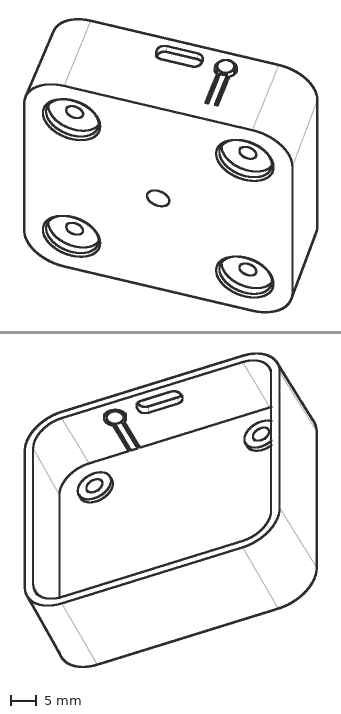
import cadquery as cq
import math

FRONT_WIDTH = 54.2
DEPTH = 17.5
CORNER_RADIUS = 8.1
DRAFT_ANGLE = 1.0
WALL = 1.8

HOLE_SPACING = 35.0
HOLE_DIAMETER = 3.4
RECESS_DIAMETER = 10.6
RECESS_DEPTH = 2.0
RECESS_CHAMFER = 0.5
HOLE_LENGTH = 3.0
BOSS_DIAMETER = HOLE_DIAMETER + 2 * WALL

DIMPLE_DIAMETER = 4.5
DIMPLE_DEPTH = 0.5

SLOT_WIDTH = 9.2
SLOT_HEIGHT = 3.5
SLOT_RADIUS = 1.5
SLOT_Y = DEPTH - 3.6

BUTTON_X = 9.5
BUTTON_Y = DEPTH - 4.0
BUTTON_DIAMETER = 3.3
BUTTON_TOP_Z = 27.6
BUTTON_GAP = 0.5
TONGUE_WIDTH = 1.4
SLIT_WIDTH = BUTTON_GAP
SLIT_LENGTH = 9.4

FLOOR = BUTTON_Y - SLIT_LENGTH

HALF_WIDTH = FRONT_WIDTH / 2
DRAFT_SLOPE = math.tan(math.radians(DRAFT_ANGLE))
CUT_BOTTOM_Z = HALF_WIDTH - 2 * WALL
CUT_HEIGHT = 3 * WALL


def drafted_block(start_y, inset):
    """Rounded square block from start_y to the back, inset from the outer walls."""
    shrink = inset + start_y * DRAFT_SLOPE
    width = FRONT_WIDTH - 2 * shrink
    return (
        cq.Workplane("XZ", origin=(0, start_y, 0))
        .sketch()
        .rect(width, width)
        .vertices()
        .fillet(CORNER_RADIUS - shrink)
        .finalize()
        .extrude(start_y - DEPTH, taper=DRAFT_ANGLE)
    )


def shell():
    return drafted_block(0, 0).cut(drafted_block(FLOOR, WALL))


def screw_hole_cutter():
    """Stepped hole along +Y: chamfer, recess and through hole."""
    hole_radius = HOLE_DIAMETER / 2
    recess_radius = RECESS_DIAMETER / 2
    profile = [
        (0, 0),
        (recess_radius + RECESS_CHAMFER, 0),
        (recess_radius, RECESS_CHAMFER),
        (recess_radius, RECESS_DEPTH),
        (hole_radius, RECESS_DEPTH),
        (hole_radius, DEPTH),
        (0, DEPTH),
    ]
    return cq.Workplane("XY").polyline(profile).close().revolve(360, (0, 0), (0, 1))


def screw_boss():
    """Short boss behind the front plate that lengthens the screw hole."""
    boss_end_y = RECESS_DEPTH + HOLE_LENGTH
    return (
        cq.Workplane("XZ", origin=(0, boss_end_y, 0))
        .circle(BOSS_DIAMETER / 2)
        .extrude(boss_end_y - RECESS_DEPTH)
    )


def add_screw_holes(body):
    boss = screw_boss()
    cutter = screw_hole_cutter()
    for side_x in (-1, 1):
        for side_z in (-1, 1):
            position = (side_x * HOLE_SPACING / 2, 0, side_z * HOLE_SPACING / 2)
            body = body.union(boss.translate(position)).cut(cutter.translate(position))
    return body


def dimple_cutter():
    rim_radius = DIMPLE_DIAMETER / 2
    sphere_radius = (rim_radius**2 + DIMPLE_DEPTH**2) / (2 * DIMPLE_DEPTH)
    return cq.Workplane("XY").sphere(sphere_radius).translate((0, DIMPLE_DEPTH - sphere_radius, 0))


def top_wall_plane(x, y, z=CUT_BOTTOM_Z):
    """Horizontal plane; by default it lies below the top wall, where its cuts start."""
    return cq.Workplane("XY", origin=(x, y, z))


def slot_cutter():
    return (
        top_wall_plane(0, SLOT_Y)
        .rect(SLOT_WIDTH, SLOT_HEIGHT)
        .extrude(CUT_HEIGHT)
        .edges("|Z")
        .fillet(SLOT_RADIUS)
    )


def tongue_strip(width):
    """Vertical prism from the slit ends to the button centre."""
    strip_y = BUTTON_Y - SLIT_LENGTH / 2
    return top_wall_plane(BUTTON_X, strip_y).rect(width, SLIT_LENGTH).extrude(CUT_HEIGHT)


def add_button(body):
    """Free the tongue and its round end from the top wall, then raise the button."""
    gap_radius = BUTTON_DIAMETER / 2 + BUTTON_GAP
    ring = top_wall_plane(BUTTON_X, BUTTON_Y).circle(gap_radius).extrude(CUT_HEIGHT)
    slits = tongue_strip(TONGUE_WIDTH + 2 * SLIT_WIDTH)
    clearance = ring.union(slits).cut(tongue_strip(TONGUE_WIDTH))

    button_bottom_z = HALF_WIDTH - BUTTON_Y * DRAFT_SLOPE - WALL
    button = (
        top_wall_plane(BUTTON_X, BUTTON_Y, button_bottom_z)
        .circle(BUTTON_DIAMETER / 2)
        .extrude(BUTTON_TOP_Z - button_bottom_z)
    )
    return body.cut(clearance).union(button)


case = add_screw_holes(shell())
case = case.cut(dimple_cutter())
case = case.cut(slot_cutter())
result = add_button(case)